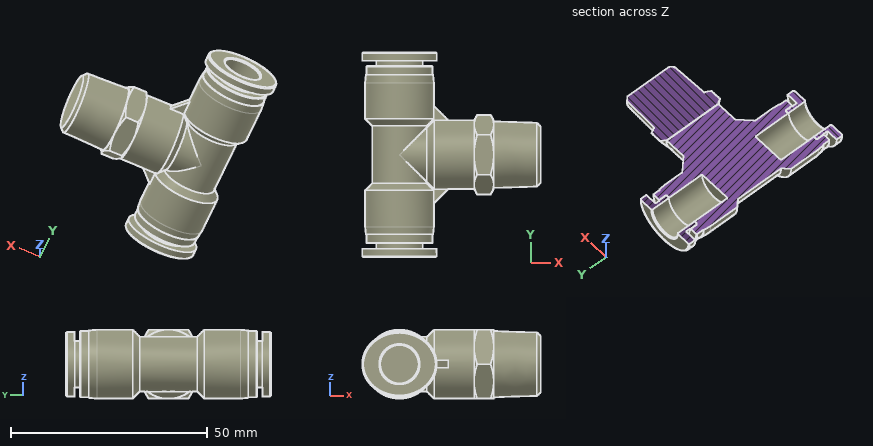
import cadquery as cq
import math

run_half_length = 26.1
branch_end = 36.0

socket_radius = 17.6 / 2
tip_radius = 16.9 / 2
waist_radius = 7.0
taper_end_radius = 8.6
waist_half_length = 7.3
shoulder_end = waist_half_length + socket_radius - waist_radius
taper_start = 18.3
tip_start = 20.3
body_half_length = 22.6
tip_chamfer = 0.2
tube_stop = shoulder_end

branch_shoulder_start = waist_radius
branch_shoulder_end = branch_shoulder_start + socket_radius - waist_radius
hex_start = 19.0

rib_thickness = 1.9
rib_root = waist_radius / 2
rib_edge_sum = 21.2
rib_reach = rib_edge_sum - rib_root

sleeve_bore = 9.75
sleeve_outer = 11.9
flange_length_x = 19.0
flange_length_z = 16.5
flange_thickness = 2.2
flange_chamfer = 0.3
bore_chamfer = 0.3
sleeve_length = 5.8
sleeve_inner_end = run_half_length - sleeve_length

hex_flats = 17.6
hex_end = 24.0
hex_chamfer_angle = 30
thread_start_radius = 8.5
thread_end_radius = 8.15
thread_chamfer_start = 35.0
thread_tip_radius = thread_end_radius - (branch_end - thread_chamfer_start)


def revolve_about_y(points):
    """Turn an outline of (radius, y) points about the Y axis."""
    return cq.Workplane("XY").polyline(points).close().revolve(360, (0, 0, 0), (0, 1, 0))


def revolve_about_x(points):
    """Turn an outline of (x, radius) points about the X axis."""
    return cq.Workplane("XY").polyline(points).close().revolve(360, (0, 0, 0), (1, 0, 0))


def mirrored_to_minus_y(half):
    """Copy of a +Y feature at the opposite end of the run."""
    return half.mirror("XZ")


def make_run_half():
    """Waist, shoulder and socket on the +Y side, narrowing towards a stepped tip."""
    return revolve_about_y([
        (0, 0),
        (waist_radius, 0),
        (waist_radius, waist_half_length),
        (socket_radius, shoulder_end),
        (socket_radius, taper_start),
        (taper_end_radius, tip_start),
        (tip_radius, tip_start),
        (tip_radius, body_half_length - tip_chamfer),
        (tip_radius - tip_chamfer, body_half_length),
        (0, body_half_length),
    ])


def make_branch():
    """Branch barrel along +X, as wide as the sockets, ending at the hexagon."""
    return revolve_about_x([
        (0, 0),
        (0, waist_radius),
        (branch_shoulder_start, waist_radius),
        (branch_shoulder_end, socket_radius),
        (hex_start, socket_radius),
        (hex_start, 0),
    ])


def make_rib():
    """Triangular web in the corner on the +Y side of the branch."""
    return (
        cq.Workplane("XY")
        .polyline([(rib_root, rib_root), (rib_reach, rib_root), (rib_root, rib_reach)])
        .close()
        .extrude(rib_thickness / 2, both=True)
    )


def make_tube_socket():
    """Cut for the tube and the wider seat of the release sleeve."""
    return revolve_about_y([
        (0, tube_stop),
        (sleeve_bore / 2, tube_stop),
        (sleeve_bore / 2, sleeve_inner_end),
        (sleeve_outer / 2, sleeve_inner_end),
        (sleeve_outer / 2, body_half_length),
        (0, body_half_length),
    ])


def make_tee_body():
    half = make_run_half()
    body = half.union(mirrored_to_minus_y(half)).union(make_branch())
    rib = make_rib()
    socket = make_tube_socket()
    body = body.union(rib).union(mirrored_to_minus_y(rib))
    return body.cut(socket).cut(mirrored_to_minus_y(socket))


def make_release_sleeve():
    """Sleeve on the +Y side: a round tube under an oval press flange."""
    flange = (
        cq.Workplane("XZ", origin=(0, run_half_length, 0))
        .ellipse(flange_length_x / 2, flange_length_z / 2)
        .extrude(flange_thickness)
        .faces(">Y").edges().chamfer(flange_chamfer)
    )
    tube = (
        cq.Workplane("XZ", origin=(0, run_half_length - flange_thickness, 0))
        .circle(sleeve_outer / 2)
        .extrude(sleeve_length - flange_thickness)
    )
    bore = revolve_about_y([
        (0, sleeve_inner_end),
        (sleeve_bore / 2, sleeve_inner_end),
        (sleeve_bore / 2, run_half_length - bore_chamfer),
        (sleeve_bore / 2 + bore_chamfer, run_half_length),
        (0, run_half_length),
    ])
    return flange.union(tube).cut(bore)


def make_hex():
    """Hexagon with two flats facing +Z and -Z, corners rounded off by a cone at each end."""
    corner_radius = hex_flats / math.sqrt(3)
    flat_radius = hex_flats / 2
    chamfer_length = (corner_radius - flat_radius) * math.tan(math.radians(hex_chamfer_angle))
    prism = (
        cq.Workplane("YZ", origin=(hex_start, 0, 0))
        .polygon(6, 2 * corner_radius)
        .extrude(hex_end - hex_start)
    )
    envelope = revolve_about_x([
        (hex_start, 0),
        (hex_start, flat_radius),
        (hex_start + chamfer_length, corner_radius),
        (hex_end - chamfer_length, corner_radius),
        (hex_end, flat_radius),
        (hex_end, 0),
    ])
    return prism.intersect(envelope)


def make_stud():
    """Hexagon with a plain tapered thread shank and an end chamfer."""
    thread = revolve_about_x([
        (hex_end, 0),
        (hex_end, thread_start_radius),
        (thread_chamfer_start, thread_end_radius),
        (branch_end, thread_tip_radius),
        (branch_end, 0),
    ])
    return make_hex().union(thread)


tee_body = make_tee_body()
stud = make_stud()
release_sleeves = []
for turn in (0, 180):
    release_sleeves.append(make_release_sleeve().rotate((0, 0, 0), (0, 0, 1), turn))

result = cq.Compound.makeCompound([
    tee_body.val(),
    stud.val(),
    *[sleeve.val() for sleeve in release_sleeves],
])